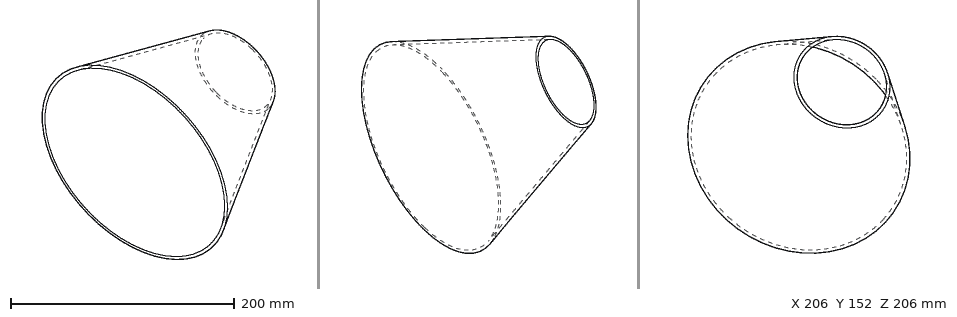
import cadquery as cq
import math

large_outer_diameter = 206.0
small_outer_diameter = 89.0
length = 152.0
wall_thickness = 3.0

large_outer_radius = large_outer_diameter / 2
small_outer_radius = small_outer_diameter / 2
half_angle = math.atan2(large_outer_radius - small_outer_radius, length)
radial_wall = wall_thickness / math.cos(half_angle)


def conical_shell():
    """Wall section in the XY plane, revolved about the Y axis with the large end at Y = 0."""
    wall_section = [
        (large_outer_radius - radial_wall, 0),
        (large_outer_radius, 0),
        (small_outer_radius, length),
        (small_outer_radius - radial_wall, length),
    ]
    return (
        cq.Workplane("XY")
        .polyline(wall_section)
        .close()
        .revolve(360, (0, 0, 0), (0, 1, 0))
    )


result = conical_shell()